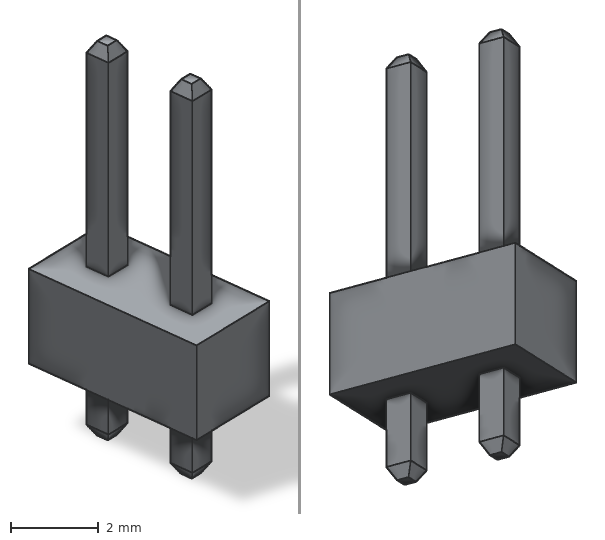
import cadquery as cq

housing_length = 5.08
housing_side = 2.54

overall_height = 10.6
lower_length = 2.0
upper_length = overall_height - housing_side - lower_length
positions = 2
pitch = housing_length / positions
prong_width = 0.67
tip_width = 0.32
tip_height = 0.31


def make_housing():
    """Plain rectangular block between the upper and lower prongs."""
    return cq.Workplane("XY").box(housing_length, housing_side, housing_side, centered=(True, True, False))


def make_prong(x, base_z, length, direction):
    """Square prong from base_z, pointing up (+1) or down (-1), with a frustum tip."""
    shaft_length = length - tip_height
    shaft = (
        cq.Workplane("XY", origin=(x, 0, base_z))
        .rect(prong_width, prong_width)
        .extrude(direction * shaft_length)
    )
    tip = (
        cq.Workplane("XY", origin=(x, 0, base_z + direction * shaft_length))
        .rect(prong_width, prong_width)
        .workplane(offset=direction * tip_height)
        .rect(tip_width, tip_width)
        .loft(ruled=True)
    )
    return shaft.union(tip)


housing = make_housing()

upper_prongs = []
lower_prongs = []
for index in range(positions):
    prong_x = (index - (positions - 1) / 2) * pitch
    upper_prongs.append(make_prong(prong_x, housing_side, upper_length, 1).val())
    lower_prongs.append(make_prong(prong_x, 0, lower_length, -1).val())

result = cq.Compound.makeCompound([housing.val(), *upper_prongs, *lower_prongs])